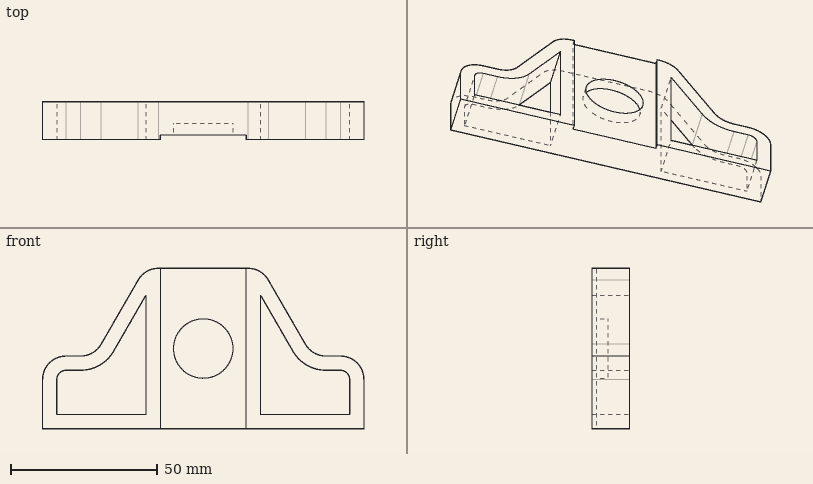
import cadquery as cq
import math

length = 110.0
depth = 13.0
height = 55.0

wall = 5.0
shoulder_height = 25.0
bend_radius = 8.0
slope_angle = math.radians(60)
slope_foot_x = 37.3

channel_width = 29.4
channel_depth = 1.5
pocket_diameter = 20.4
pocket_depth = 4.0
pocket_height = height / 2

half_length = length / 2
front_y = -depth / 2
channel_floor_y = front_y + channel_depth
slope_top_x = slope_foot_x - (height - shoulder_height) / math.tan(slope_angle)


def extrude_through(points):
    """Extrude an XZ outline over the full depth of the part."""
    return cq.Workplane("XZ").polyline(points).close().extrude(depth / 2, both=True)


def round_edges(body, places, radius):
    """Round the depth-wise edges that pass through the given XZ places."""
    for x, z in places:
        edge = cq.selectors.NearestToPointSelector((x, 0, z))
        body = body.edges("|Y").edges(edge).fillet(radius)
    return body


def make_body():
    right_side = [
        (half_length, 0),
        (half_length, shoulder_height),
        (slope_foot_x, shoulder_height),
        (slope_top_x, height),
    ]
    left_side = [(-x, z) for x, z in reversed(right_side)]
    body = extrude_through(right_side + left_side)
    bends = right_side[1:] + left_side[:-1]
    return round_edges(body, bends, bend_radius)


def make_window(side):
    """Make the opening on one side (+1 or -1), a constant wall inside the outline."""
    inner_x = channel_width / 2 + wall
    outer_x = half_length - wall
    ceiling = shoulder_height - wall
    foot_x = slope_foot_x - wall * math.tan(slope_angle / 2)
    peak = ceiling + (foot_x - inner_x) * math.tan(slope_angle)
    corner = (side * outer_x, ceiling)
    foot = (side * foot_x, ceiling)
    window = extrude_through([
        (side * inner_x, wall),
        (side * outer_x, wall),
        corner,
        foot,
        (side * inner_x, peak),
    ])
    window = round_edges(window, [corner], bend_radius - wall)
    return round_edges(window, [foot], bend_radius + wall)


def make_channel():
    return (
        cq.Workplane("XY")
        .box(channel_width, channel_depth, height, centered=(True, False, False))
        .translate((0, front_y, 0))
    )


def make_pocket():
    return (
        cq.Workplane("XZ", origin=(0, channel_floor_y, pocket_height))
        .circle(pocket_diameter / 2)
        .extrude(-pocket_depth)
    )


result = make_body()
for side in (-1, 1):
    result = result.cut(make_window(side))
result = result.cut(make_channel()).cut(make_pocket())